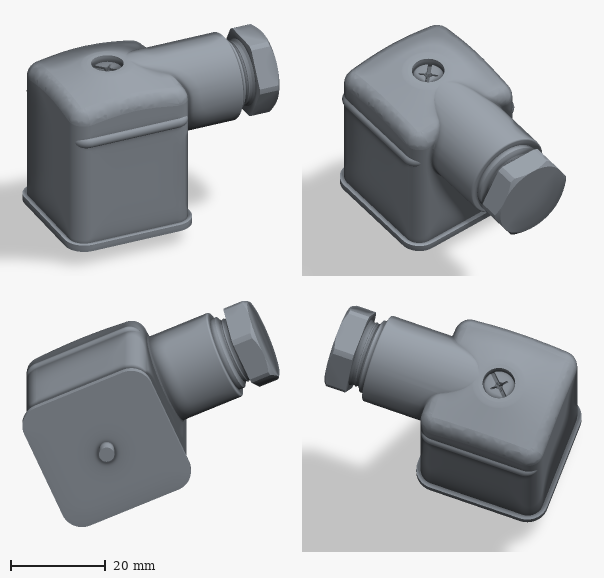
import cadquery as cq
import math


flange_size = 29.2
flange_thickness = 1.5
flange_corner_radius = 4.45
pin_radius = 1.6
pin_length = 3.2

housing_size = 27.25
wall_edge_radius = 3.35
roof_edge_radius = 3.15
housing_height = 35.65
roof_flat_radius = 4.95
roof_slope = 14.7
roof_blend_radius = 5.1

rib_height = 25.65
rib_radius = 1.25
rib_projection = 0.65
rib_straight_length = 20.5
rib_bend_radius = 1.7

sleeve_radius = 9.55
sleeve_end = 27.4
sleeve_edge_radius = 0.35
sleeve_root_radius = 0.35
sleeve_root_front = 7.6
collar_radius = 8.0
collar_end = 28.5
neck_radius = 6.95
neck_start = 29.15
neck_flare_start = 30.6
neck_flare_radius = 7.3
neck_ring_height = 0.2
neck_ring_start = 29.6
neck_ring_width = 0.4
nut_length = 5.0
nut_across_flats = 17.0
nut_corner_radius = 9.5
nut_face_radius = 8.55
nut_chamfer_length = 0.7
overall_length = 50.75
nut_end = overall_length - flange_size / 2

screw_hole_radius = 3.45
screw_head_radius = 3.3
screw_head_chamfer = 0.25
screw_head_depth = 1.3
screw_gap_depth = 1.0
slot_width = 0.85
slot_depth = 1.0
cross_length = 4.25
cross_width = 0.45
cross_bottom_length = 1.5
pit_width = 1.6
pit_taper = 15.0
pit_depth = 1.5

outlet_height = housing_height - sleeve_radius
nut_start = nut_end - nut_length


def revolved_about_outlet(points):
    """Turn a (radius, y) outline into a solid around the cable outlet axis."""
    profile = cq.Workplane("XY").polyline(points).close()
    turned = profile.revolve(360, (0, 0, 0), (0, 1, 0))
    return turned.translate((0, 0, outlet_height))


def outlet_cylinder(radius, start, end):
    return revolved_about_outlet([(0, start), (radius, start), (radius, end), (0, end)])


def make_housing():
    block = cq.Workplane("XY").rect(housing_size, housing_size).extrude(housing_height)
    reach = housing_size
    drop = (reach - roof_flat_radius) * math.tan(math.radians(roof_slope))
    roof_envelope = (
        cq.Workplane("XZ")
        .polyline([
            (0, 0),
            (reach, 0),
            (reach, housing_height - drop),
            (roof_flat_radius, housing_height),
            (0, housing_height),
        ])
        .close()
        .revolve(360, (0, 0, 0), (0, 1, 0))
        .edges(cq.selectors.RadiusNthSelector(0))
        .fillet(roof_blend_radius)
    )
    housing = block.intersect(roof_envelope)
    rounded = housing.edges("|Z").fillet(wall_edge_radius)
    roof_rim = rounded.faces("|X or |Y").edges("(not |Z) and (not <Z)")
    return roof_rim.fillet(roof_edge_radius)


def make_flange():
    plate = cq.Workplane("XY").rect(flange_size, flange_size).extrude(flange_thickness)
    return plate.edges("|Z").fillet(flange_corner_radius)


def make_pin():
    return cq.Workplane("XY").circle(pin_radius).extrude(-pin_length)


def make_rib(side):
    """Rod along Y with both ends bent a quarter turn into the housing."""
    axis_x = housing_size / 2 + rib_projection - rib_radius
    bend_x = axis_x - rib_bend_radius
    half = rib_straight_length / 2
    diagonal = rib_bend_radius * math.sqrt(0.5)
    path = (
        cq.Workplane("XY")
        .moveTo(bend_x, -half - rib_bend_radius)
        .threePointArc((bend_x + diagonal, -half - diagonal), (axis_x, -half))
        .lineTo(axis_x, half)
        .threePointArc((bend_x + diagonal, half + diagonal), (bend_x, half + rib_bend_radius))
    )
    section = cq.Workplane("YZ", origin=(bend_x, -half - rib_bend_radius, 0)).circle(rib_radius)
    rib = section.sweep(path).translate((0, 0, rib_height))
    return rib if side > 0 else rib.mirror("YZ")


def make_sleeve(start):
    sleeve = outlet_cylinder(sleeve_radius, start, sleeve_end)
    return sleeve.faces(">Y").edges().fillet(sleeve_edge_radius)


def make_neck():
    ring_end = neck_ring_start + neck_ring_width
    ring_crest = (neck_radius + neck_ring_height, neck_ring_start + neck_ring_width / 2)
    profile = (
        cq.Workplane("XY")
        .moveTo(0, 0)
        .lineTo(collar_radius, 0)
        .lineTo(collar_radius, collar_end)
        .lineTo(neck_radius, neck_start)
        .lineTo(neck_radius, neck_ring_start)
        .threePointArc(ring_crest, (neck_radius, ring_end))
        .lineTo(neck_radius, neck_flare_start)
        .lineTo(neck_flare_radius, nut_start)
        .lineTo(0, nut_start)
        .close()
    )
    return profile.revolve(360, (0, 0, 0), (0, 1, 0)).translate((0, 0, outlet_height))


def make_nut():
    """Hexagon with rounded-off corners and a chamfered outer end."""
    across_corners = nut_across_flats / math.cos(math.radians(30))
    hexagon = (
        cq.Workplane("XZ", origin=(0, nut_end, outlet_height))
        .polygon(6, across_corners)
        .extrude(nut_length)
    )
    corner_limit = revolved_about_outlet([
        (0, nut_start),
        (nut_corner_radius, nut_start),
        (nut_corner_radius, nut_end - nut_chamfer_length),
        (nut_face_radius, nut_end),
        (0, nut_end),
    ])
    return hexagon.intersect(corner_limit)


def make_cross_arm():
    """One blade of the cross recess, with ends that slope in towards the bottom."""
    top = cross_length / 2
    bottom = cross_bottom_length / 2
    blade = (
        cq.Workplane("XZ", origin=(0, cross_width / 2, 0))
        .polyline([(-top, 0), (top, 0), (bottom, -pit_depth), (-bottom, -pit_depth)])
        .close()
    )
    return blade.extrude(cross_width)


def make_screw_recess():
    """Volume removed around, above and inside the screw head."""
    head_top = housing_height - screw_head_depth
    bore_depth = screw_head_depth + screw_gap_depth
    bore = (
        cq.Workplane("XY", origin=(0, 0, housing_height))
        .circle(screw_hole_radius)
        .extrude(-bore_depth)
    )
    head = (
        cq.Workplane("XY", origin=(0, 0, head_top))
        .circle(screw_head_radius)
        .extrude(-screw_gap_depth)
        .faces(">Z")
        .edges()
        .chamfer(screw_head_chamfer)
    )
    top_of_head = cq.Workplane("XY", origin=(0, 0, head_top)).transformed(rotate=(0, 0, 45))
    slot = top_of_head.rect(2 * screw_head_radius, slot_width).extrude(-slot_depth)
    pit = (
        cq.Workplane("XY", origin=(0, 0, head_top))
        .rect(pit_width, pit_width)
        .extrude(-pit_depth, taper=pit_taper)
    )
    recess = bore.cut(head).union(slot).union(pit)
    arm = make_cross_arm().translate((0, 0, head_top))
    for angle in (45, 135):
        recess = recess.union(arm.rotate((0, 0, 0), (0, 0, 1), angle))
    return recess


def is_sleeve_joint(edge):
    """True for a curve where the sleeve surface meets the back wall or roof."""
    tolerance = 0.01
    box = edge.BoundingBox()
    if box.ymax < sleeve_root_front + tolerance or box.ymax > housing_size / 2 + tolerance:
        return False
    points = edge.positions([0, 0.3, 0.7, 1])
    distances = [math.hypot(point.x, point.z - outlet_height) for point in points]
    return all(abs(distance - sleeve_radius) < tolerance for distance in distances)


def make_housing_with_sleeve():
    """The sleeve root is filleted at the back only; further in it runs into the roof sharply."""
    body = make_housing().union(make_sleeve(sleeve_root_front))
    body = body.edges().filter(is_sleeve_joint).fillet(sleeve_root_radius)
    return body.union(make_sleeve(0))


result = (
    make_housing_with_sleeve()
    .union(make_flange())
    .union(make_pin())
    .union(make_rib(1))
    .union(make_rib(-1))
    .union(make_neck())
    .union(make_nut())
    .cut(make_screw_recess())
)